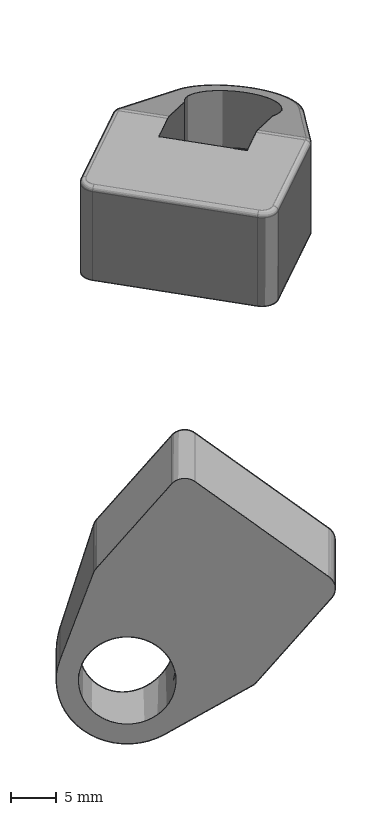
import math

import cadquery as cq

WIDTH = 22.48
LENGTH = 31.56
HEIGHT = 12.38

NOSE_RADIUS = 7.8
HOLE_RADIUS = 5.35

TAPER_ANGLE = math.radians(19.55)
TOP_SLOPE_ANGLE = math.radians(19.55)

RAMP_WIDTH = 10.06
RAMP_START_Y = 11.44
RAMP_ANGLE = math.radians(40)

CORNER_RADIUS = 1.85
RIM_RADIUS = 0.6

HALF_WIDTH = WIDTH / 2
HOLE_Y = LENGTH - NOSE_RADIUS
TANGENT_X = NOSE_RADIUS * math.cos(TAPER_ANGLE)
TANGENT_Y = HOLE_Y + NOSE_RADIUS * math.sin(TAPER_ANGLE)
SHOULDER_Y = TANGENT_Y - (HALF_WIDTH - TANGENT_X) / math.tan(TAPER_ANGLE)
NOSE_TIP_HEIGHT = HEIGHT - (LENGTH - SHOULDER_Y) * math.tan(TOP_SLOPE_ANGLE)


def side_profile(points, width):
    """Extrude an outline of (y, z) points, centred across X."""
    return cq.Workplane("YZ").polyline(points).close().extrude(width / 2, both=True)


def make_body():
    """Block with a tapered round nose and a top that slopes down towards it."""
    plan = (
        cq.Workplane("XY")
        .moveTo(-HALF_WIDTH, 0)
        .lineTo(HALF_WIDTH, 0)
        .lineTo(HALF_WIDTH, SHOULDER_Y)
        .lineTo(TANGENT_X, TANGENT_Y)
        .threePointArc((0, LENGTH), (-TANGENT_X, TANGENT_Y))
        .lineTo(-HALF_WIDTH, SHOULDER_Y)
        .close()
        .extrude(HEIGHT)
    )
    corners = cq.selectors.BoxSelector(
        (-WIDTH, -RIM_RADIUS, 0), (WIDTH, SHOULDER_Y + RIM_RADIUS, HEIGHT)
    )
    plan = plan.edges("|Z").edges(corners).fillet(CORNER_RADIUS)
    side = side_profile(
        [(0, 0), (LENGTH, 0), (LENGTH, NOSE_TIP_HEIGHT), (SHOULDER_Y, HEIGHT), (0, HEIGHT)],
        WIDTH,
    )
    side = side.edges("|X").edges(cq.selectors.NearestToPointSelector((0, SHOULDER_Y, HEIGHT)))
    return plan.intersect(side.fillet(CORNER_RADIUS))


def round_rim(body):
    """Round the whole upper outer edge, leaving the base sharp."""
    return body.faces(">Z").edges("<Y").fillet(RIM_RADIUS)


def make_hole():
    """Vertical through hole, concentric with the nose."""
    return cq.Workplane("XY").center(0, HOLE_Y).circle(HOLE_RADIUS).extrude(HEIGHT)


def make_ramp():
    """Straight-sided cut whose floor falls from the top face into the hole."""
    ramp_drop = (HOLE_Y - RAMP_START_Y) * math.tan(RAMP_ANGLE)
    return side_profile(
        [(RAMP_START_Y, HEIGHT), (HOLE_Y, HEIGHT), (HOLE_Y, HEIGHT - ramp_drop)],
        RAMP_WIDTH,
    )


result = round_rim(make_body()).cut(make_hole()).cut(make_ramp())